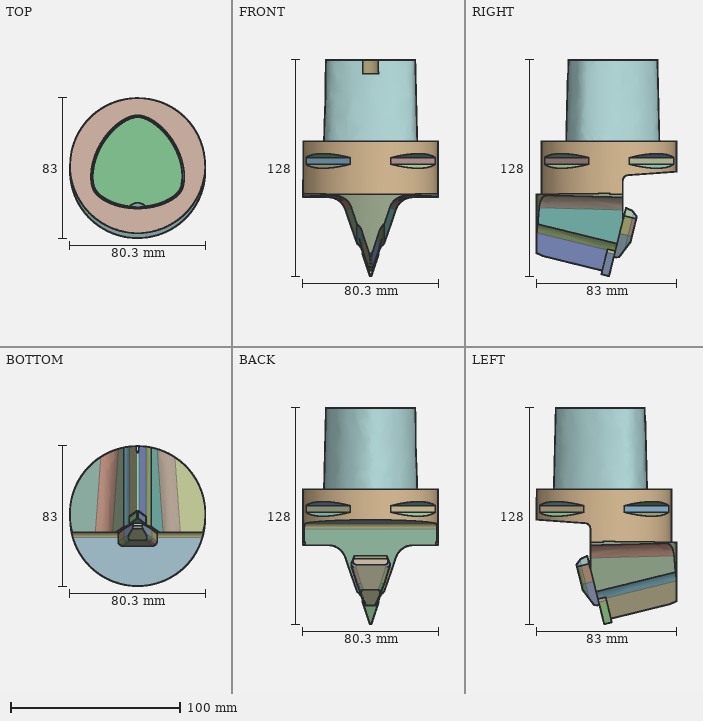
import cadquery as cq
import math


SHANK_HEIGHT = 48.0
SHANK_BASE_RADIUS = 27.6
SHANK_TOP_RADIUS = 26.5
LOBE_HEIGHT = 2.2
LOBE_POINTS = 48
KEYWAY_RADIUS = 6.0
KEYWAY_DEPTH = 8.3
KEYWAY_FLOOR_Y = -22.0

COLLAR_DIAMETER = 80.0
COLLAR_RADIUS = COLLAR_DIAMETER / 2
COLLAR_HEIGHT = 31.5
SLOT_CENTRE_Z = -11.8
SLOT_FLOOR_DISTANCE = 35.5
SLOT_FLOOR_WIDTH = 3.8
SLOT_WALL_RISE = 2.4
FRONT_Y = 8.2
RELIEF_INNER_Z = -20.5
RELIEF_OUTER_Z = -18.2
RELIEF_FILLET = 3.2

FLANGE_DIAMETER = 80.3
FLANGE_RADIUS = FLANGE_DIAMETER / 2
OVERALL_DEPTH = 83.0
BACK_Y = COLLAR_RADIUS - OVERALL_DEPTH
FLANGE_CENTRE_Y = BACK_Y + FLANGE_RADIUS
FLANGE_TOP_FRONT_Z = -30.8
FLANGE_TOP_BACK_Z = -31.5
FLANGE_BOTTOM_Z = -33.3
FLANGE_BOTTOM_TILT = 1.5
BLADE_FILLET = 10.8

TILT = math.radians(13.8)
OVERALL_HEIGHT = 128.0
TIP_Z = SHANK_HEIGHT - OVERALL_HEIGHT
FLANK_SLOPE = 0.33
STEP_TOP_HALF_WIDTH = 8.0
STEP_TOP_Z = -59.5
STEP_BOTTOM_HALF_WIDTH = 4.9
STEP_BOTTOM_Z = -64.6
STEP_HOLLOW = 0.4
BLADE_EDGE_HALF_WIDTH = 0.8
BLADE_EDGE_Z = -77.7
BLADE_EDGE_ROUNDING = 0.5
HEEL_BACK_Z = -66.3
HEEL_FRONT_Y = -38.8

INSERT_THICKNESS = 4.7
INSERT_LENGTH = 15.4
INSERT_SHOULDER = 13.6
INSERT_TIP_HALF_WIDTH = 0.5

CLAMP_TOP_U = 41.7
CLAMP_CREST_U = 38.1
CLAMP_BROW_U = 41.0
CLAMP_KNEE_U = 22.9
CLAMP_NOSE_U = 12.4
CLAMP_BOTTOM_U = 11.8
CLAMP_SHOULDER_U = 36.9
CLAMP_TAPER_U = 26.2
CLAMP_DEPTH = 7.5
CLAMP_BROW_DEPTH = 4.1
CLAMP_NOSE_DEPTH = 3.1
CLAMP_TIP_DEPTH = 1.4
CLAMP_TOP_HALF_WIDTH = 9.6
CLAMP_HALF_WIDTH = 11.5
CLAMP_WAIST_HALF_WIDTH = 8.3
CLAMP_TIP_HALF_WIDTH = 2.7
CLAMP_FILLET = 2.5

MARGIN = 12.8


def seat_plane():
    """Plane with x along X, y up the seat from the insert tip, z out of the seat (-Y is behind)."""
    outward = (0, math.cos(TILT), -math.sin(TILT))
    return cq.Plane(origin=(0, 0, TIP_Z), xDir=(-1, 0, 0), normal=outward)


def lobe_point(mean_radius, turn):
    """Point on a curve whose distance to its tangent is mean_radius + a three-lobed wave."""
    angle = 2 * math.pi * turn
    wave = 3 * (angle - math.pi / 2)
    reach = mean_radius + LOBE_HEIGHT * math.cos(wave)
    shift = -3 * LOBE_HEIGHT * math.sin(wave)
    x = reach * math.cos(angle) - shift * math.sin(angle)
    y = reach * math.sin(angle) + shift * math.cos(angle)
    return (x, y)


def lobed_wire(mean_radius, z):
    """Closed smooth outline of the shank at height z."""
    points = []
    for index in range(LOBE_POINTS):
        x, y = lobe_point(mean_radius, index / LOBE_POINTS)
        points.append(cq.Vector(x, y, z))
    return cq.Wire.assembleEdges([cq.Edge.makeSpline(points, periodic=True)])


def make_shank():
    base = lobed_wire(SHANK_BASE_RADIUS, 0)
    top = lobed_wire(SHANK_TOP_RADIUS, SHANK_HEIGHT)
    shank = cq.Workplane(obj=cq.Solid.makeLoft([base, top], True))
    keyway = (
        cq.Workplane("XY", origin=(0, KEYWAY_FLOOR_Y - KEYWAY_RADIUS, SHANK_HEIGHT - KEYWAY_DEPTH))
        .circle(KEYWAY_RADIUS)
        .extrude(KEYWAY_DEPTH + MARGIN)
    )
    return shank.cut(keyway)


def gripper_slot(angle):
    """Flat-floored slot with flared walls, facing outwards at the given angle about Z."""
    half_floor = SLOT_FLOOR_WIDTH / 2
    half_mouth = half_floor + SLOT_WALL_RISE
    return (
        cq.Workplane("XZ")
        .moveTo(SLOT_FLOOR_DISTANCE, SLOT_CENTRE_Z - half_floor)
        .lineTo(COLLAR_RADIUS, SLOT_CENTRE_Z - half_mouth)
        .lineTo(COLLAR_RADIUS + MARGIN, SLOT_CENTRE_Z - half_mouth)
        .lineTo(COLLAR_RADIUS + MARGIN, SLOT_CENTRE_Z + half_mouth)
        .lineTo(COLLAR_RADIUS, SLOT_CENTRE_Z + half_mouth)
        .lineTo(SLOT_FLOOR_DISTANCE, SLOT_CENTRE_Z + half_floor)
        .close()
        .extrude(COLLAR_RADIUS, both=True)
        .rotate((0, 0, 0), (0, 0, 1), angle)
    )


def make_collar():
    collar = cq.Workplane("XY").circle(COLLAR_RADIUS).extrude(-COLLAR_HEIGHT)
    relief = (
        cq.Workplane("YZ")
        .polyline([
            (FRONT_Y, RELIEF_INNER_Z),
            (COLLAR_RADIUS, RELIEF_OUTER_Z),
            (COLLAR_RADIUS, -COLLAR_HEIGHT - MARGIN),
            (FRONT_Y, -COLLAR_HEIGHT - MARGIN),
        ])
        .close()
        .extrude(COLLAR_DIAMETER, both=True)
        .edges(cq.selectors.NearestToPointSelector((0, FRONT_Y, RELIEF_INNER_Z)))
        .fillet(RELIEF_FILLET)
    )
    collar = collar.cut(relief)
    for angle in (45, 135, 225, 315):
        collar = collar.cut(gripper_slot(angle))
    return collar


def blade_section(y):
    """V section of the blade at distance y, with hollow steps and a rounded lower edge."""
    drop = -y * math.tan(TILT)
    root_z = FLANGE_BOTTOM_Z + 2 * MARGIN
    root_half_width = STEP_TOP_HALF_WIDTH + FLANK_SLOPE * (root_z - STEP_TOP_Z)
    step_middle_x = (STEP_TOP_HALF_WIDTH + STEP_BOTTOM_HALF_WIDTH) / 2 - STEP_HOLLOW
    step_middle_z = (STEP_TOP_Z + STEP_BOTTOM_Z) / 2 + STEP_HOLLOW
    return (
        cq.Workplane("XZ", origin=(0, y, drop))
        .moveTo(root_half_width, root_z)
        .lineTo(STEP_TOP_HALF_WIDTH, STEP_TOP_Z)
        .threePointArc((step_middle_x, step_middle_z), (STEP_BOTTOM_HALF_WIDTH, STEP_BOTTOM_Z))
        .lineTo(BLADE_EDGE_HALF_WIDTH, BLADE_EDGE_Z + BLADE_EDGE_ROUNDING)
        .threePointArc((0, BLADE_EDGE_Z), (-BLADE_EDGE_HALF_WIDTH, BLADE_EDGE_Z + BLADE_EDGE_ROUNDING))
        .lineTo(-STEP_BOTTOM_HALF_WIDTH, STEP_BOTTOM_Z)
        .threePointArc((-step_middle_x, step_middle_z), (-STEP_TOP_HALF_WIDTH, STEP_TOP_Z))
        .lineTo(-root_half_width, root_z)
        .close()
        .val()
    )


def blade_bar():
    """Blade section swept along the tilted direction, longer than needed at both ends."""
    reach = 2 * FLANGE_RADIUS
    return cq.Workplane(obj=cq.Solid.makeLoft([blade_section(reach), blade_section(-reach)], True))


def make_blade():
    """Flange and blade, joined by large fillets and trimmed to their common side outline."""
    slab = cq.Workplane("XY", origin=(0, 0, FLANGE_BOTTOM_Z)).box(
        6 * FLANGE_RADIUS, 3 * FLANGE_RADIUS, 4 * MARGIN, centered=(True, True, False)
    ).rotate((0, FRONT_Y, FLANGE_BOTTOM_Z), (1, FRONT_Y, FLANGE_BOTTOM_Z), -FLANGE_BOTTOM_TILT)
    root_x = STEP_TOP_HALF_WIDTH + FLANK_SLOPE * (FLANGE_BOTTOM_Z - STEP_TOP_Z)
    blank = slab.union(blade_bar())
    for side in (-1, 1):
        root_edge = cq.selectors.NearestToPointSelector((side * root_x, 0, FLANGE_BOTTOM_Z))
        blank = blank.edges(root_edge).fillet(BLADE_FILLET)

    seat_crossing_z = TIP_Z + FRONT_Y / math.tan(TILT)
    low_z = TIP_Z - MARGIN
    low_y = -MARGIN * math.tan(TILT)
    heel_front_z = BLADE_EDGE_Z - HEEL_FRONT_Y * math.tan(TILT)
    side_outline = (
        cq.Workplane("YZ")
        .polyline([
            (FRONT_Y, FLANGE_TOP_FRONT_Z),
            (FRONT_Y, seat_crossing_z),
            (low_y, low_z),
            (HEEL_FRONT_Y, low_z),
            (HEEL_FRONT_Y, heel_front_z),
            (BACK_Y, HEEL_BACK_Z),
            (BACK_Y, FLANGE_TOP_BACK_Z),
        ])
        .close()
        .extrude(2 * FLANGE_RADIUS, both=True)
    )
    envelope = (
        cq.Workplane("XY", origin=(0, FLANGE_CENTRE_Y, 0))
        .circle(FLANGE_RADIUS)
        .extrude(TIP_Z - MARGIN)
    )
    return blank.intersect(envelope).intersect(side_outline)


def insert_pocket():
    """Space for the insert, open to both sides and below."""
    return (
        cq.Workplane(seat_plane())
        .rect(2 * FLANGE_RADIUS, 2 * INSERT_LENGTH)
        .extrude(-INSERT_THICKNESS)
    )


def make_clamp():
    side_profile = (
        cq.Workplane(cq.Plane(
            origin=(0, 0, TIP_Z),
            xDir=(0, math.cos(TILT), -math.sin(TILT)),
            normal=(1, 0, 0),
        ))
        .polyline([
            (0, CLAMP_TOP_U),
            (CLAMP_BROW_DEPTH, CLAMP_BROW_U),
            (CLAMP_DEPTH, CLAMP_CREST_U),
            (CLAMP_DEPTH, CLAMP_KNEE_U),
            (CLAMP_NOSE_DEPTH, CLAMP_NOSE_U),
            (CLAMP_TIP_DEPTH, CLAMP_BOTTOM_U),
            (0, CLAMP_BOTTOM_U),
        ])
        .close()
        .extrude(CLAMP_HALF_WIDTH, both=True)
    )
    plan = (
        cq.Workplane(seat_plane())
        .polyline([
            (-CLAMP_TOP_HALF_WIDTH, CLAMP_TOP_U),
            (CLAMP_TOP_HALF_WIDTH, CLAMP_TOP_U),
            (CLAMP_HALF_WIDTH, CLAMP_SHOULDER_U),
            (CLAMP_WAIST_HALF_WIDTH, CLAMP_TAPER_U),
            (CLAMP_TIP_HALF_WIDTH, CLAMP_BOTTOM_U),
            (-CLAMP_TIP_HALF_WIDTH, CLAMP_BOTTOM_U),
            (-CLAMP_WAIST_HALF_WIDTH, CLAMP_TAPER_U),
            (-CLAMP_HALF_WIDTH, CLAMP_SHOULDER_U),
        ])
        .close()
        .extrude(CLAMP_DEPTH)
        .faces(cq.selectors.DirectionMinMaxSelector(seat_plane().zDir))
        .edges()
        .fillet(CLAMP_FILLET)
    )
    return side_profile.intersect(plan)


def make_holder():
    holder = make_shank().union(make_collar()).union(make_blade()).cut(insert_pocket())
    return holder.union(make_clamp())


def make_insert():
    return (
        cq.Workplane(seat_plane())
        .polyline([
            (-INSERT_TIP_HALF_WIDTH, 0),
            (INSERT_TIP_HALF_WIDTH, 0),
            (STEP_BOTTOM_HALF_WIDTH, INSERT_SHOULDER),
            (STEP_BOTTOM_HALF_WIDTH, INSERT_LENGTH),
            (-STEP_BOTTOM_HALF_WIDTH, INSERT_LENGTH),
            (-STEP_BOTTOM_HALF_WIDTH, INSERT_SHOULDER),
        ])
        .close()
        .extrude(-INSERT_THICKNESS)
    )


holder = make_holder()
insert = make_insert()
result = cq.Compound.makeCompound([holder.solids().val(), insert.val()])